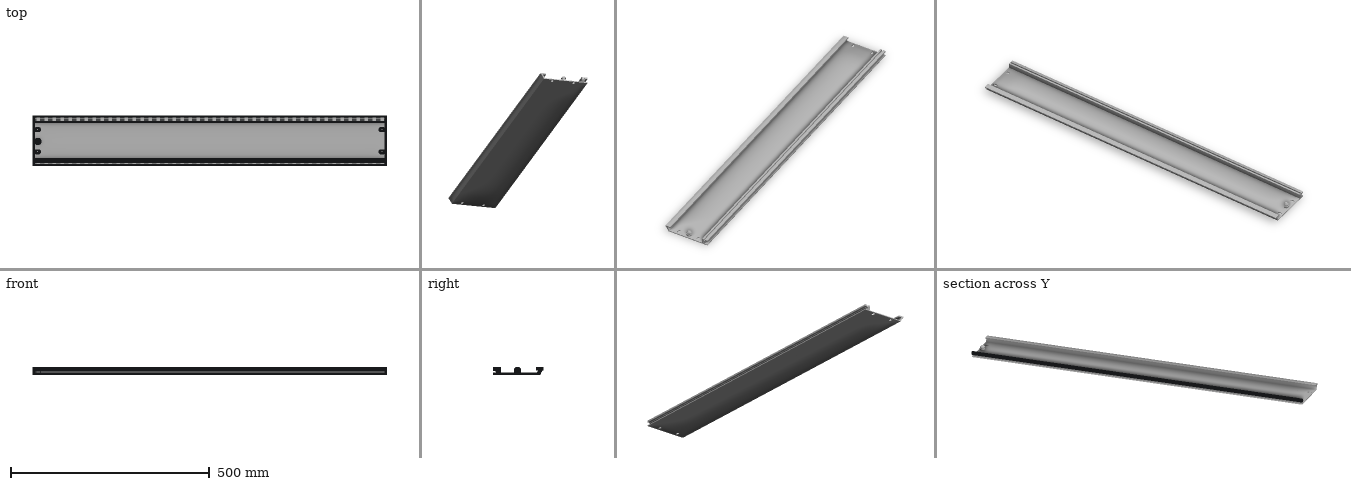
import cadquery as cq

length = 885.0
width = 122.0
height = 15.0
plate_thickness = 2.2
front_y = -width / 2
back_y = width / 2

rim_flange_width = 14.0
rim_flange_thickness = 3.5
rim_lean = 9.0
rim_web_width = 4.0
plate_back_y = back_y - rim_lean

rail_width = 15.0
rail_wall = 2.2
bridge_bottom = 9.0
bridge_top = 11.5
bridge_setback = 5.0
groove_width = 3.5
outer_flange_width = 7.0
outer_flange_bottom = 11.0
web_setback = 8.0
web_outer_y = front_y + web_setback

slot_length = 11.0
slot_width = 6.0
slot_end_distance = 10.0
slot_half_spacing = 27.9

stud_end_distance = 11.0
stud_y = -2.0
stud_diameter = 12.0
stud_neck_diameter = 9.0
stud_tip_diameter = 6.0
collar_top = 6.0
head_bottom = 10.0
head_rim_top = 11.5


def strip(y_min, y_max, z_min, z_max):
    """Rectangular bar running the full length of the panel."""
    bar = cq.Workplane("XY").box(length, y_max - y_min, z_max - z_min, centered=(True, False, False))
    return bar.translate((0, y_min, z_min))


def back_rim():
    flange = strip(back_y - rim_flange_width, back_y, height - rim_flange_thickness, height)
    web = (
        cq.Workplane("YZ", origin=(-length / 2, 0, 0))
        .moveTo(plate_back_y, 0)
        .lineTo(back_y, height)
        .lineTo(back_y - rim_web_width, height)
        .lineTo(plate_back_y - rim_web_width, 0)
        .close()
        .extrude(length)
    )
    return flange.union(web)


def front_rail():
    inner_y = front_y + rail_width
    groove_front_y = front_y + outer_flange_width
    groove_back_y = groove_front_y + groove_width
    inner_wall = strip(inner_y - rail_wall, inner_y, 0, height)
    outer_web = strip(web_outer_y, web_outer_y + rail_wall, 0, bridge_top)
    bridge = strip(front_y + bridge_setback, inner_y, bridge_bottom, bridge_top)
    inner_lip = strip(groove_back_y, inner_y, bridge_bottom, height)
    outer_flange = strip(front_y, groove_front_y, outer_flange_bottom, height)
    return inner_wall.union(outer_web).union(bridge).union(inner_lip).union(outer_flange)


def stud():
    """Round stud with a collar, a neck and a head tapering to a flat tip."""
    radius = stud_diameter / 2
    neck_radius = stud_neck_diameter / 2
    half_profile = [
        (0, 0),
        (radius, 0),
        (radius, collar_top),
        (neck_radius, collar_top),
        (neck_radius, head_bottom),
        (radius, head_bottom),
        (radius, head_rim_top),
        (stud_tip_diameter / 2, height),
        (0, height),
    ]
    body = cq.Workplane("XZ").polyline(half_profile).close().revolve(360, (0, 0, 0), (0, 1, 0))
    return body.translate((stud_end_distance - length / 2, stud_y, 0))


def mounting_slots():
    slot_x = length / 2 - slot_end_distance
    centers = [(x, y) for x in (-slot_x, slot_x) for y in (-slot_half_spacing, slot_half_spacing)]
    return cq.Workplane("XY").pushPoints(centers).slot2D(slot_length, slot_width).extrude(plate_thickness)


plate = strip(front_y, plate_back_y, 0, plate_thickness)
result = plate.cut(mounting_slots()).union(back_rim()).union(front_rail()).union(stud())